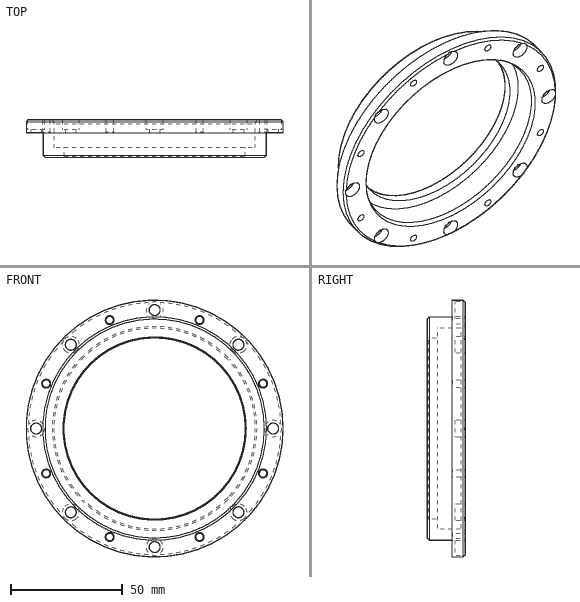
import cadquery as cq
import math

overall_depth = 17.0
flange_diameter = 115.0
flange_thickness = 6.0
spigot_diameter = 100.0
bore_diameter = 81.0
edge_chamfer = 1.0

bore_chamfer = 0.5
lip_thickness = 4.5
seat_diameter = 90.0
lead_in_depth = 2.0
lead_in_angle = 20.0

holes_per_circle = 8
hole_pitch_angle = 360.0 / holes_per_circle
clearance_hole_diameter = 4.8
clearance_circle_diameter = 106.0
counterbore_diameter = 7.5
clearance_land = 1.5
tapped_hole_diameter = 3.3
tapped_mouth_diameter = 4.0
tapped_circle_diameter = 105.0


def ring_body():
    """Revolve the flange and spigot section, drawn as radius against Y."""
    flange_radius = flange_diameter / 2
    spigot_radius = spigot_diameter / 2
    bore_radius = bore_diameter / 2
    seat_radius = seat_diameter / 2
    lip_back = -overall_depth + lip_thickness
    lead_in_width = lead_in_depth * math.tan(math.radians(lead_in_angle))
    section = [
        (bore_radius + bore_chamfer, -overall_depth),
        (spigot_radius - edge_chamfer, -overall_depth),
        (spigot_radius, -overall_depth + edge_chamfer),
        (spigot_radius, -flange_thickness),
        (flange_radius, -flange_thickness),
        (flange_radius, -edge_chamfer),
        (flange_radius - edge_chamfer, 0),
        (seat_radius + lead_in_width, 0),
        (seat_radius, -lead_in_depth),
        (seat_radius, lip_back),
        (bore_radius, lip_back),
        (bore_radius, -overall_depth + bore_chamfer),
    ]
    return cq.Workplane("XY").polyline(section).close().revolve(360, (0, 0), (0, 1))


def flange_face():
    """Sketch plane on the spigot side of the flange, facing -Y."""
    return cq.Workplane("XZ", origin=(0, -flange_thickness, 0))


def on_circle(cutter, circle_diameter, start_angle):
    """Repeat a cutter placed on the ring axis around a hole circle."""
    placed = cutter.translate((circle_diameter / 2, 0, 0))
    copies = cq.Workplane()
    for index in range(holes_per_circle):
        angle = start_angle + index * hole_pitch_angle
        copies = copies.add(placed.rotate((0, 0, 0), (0, 1, 0), angle))
    return copies.combine()


def clearance_hole():
    """Screw hole through the flange, counterbored from the back."""
    shank = flange_face().circle(clearance_hole_diameter / 2).extrude(-flange_thickness)
    head_depth = flange_thickness - clearance_land
    head = cq.Workplane("XZ").circle(counterbore_diameter / 2).extrude(head_depth)
    return shank.union(head)


def tapped_hole():
    """Tapping hole with a 45 degree countersink on the spigot side."""
    hole_radius = tapped_hole_diameter / 2
    mouth_radius = tapped_mouth_diameter / 2
    sink = mouth_radius - hole_radius
    section = [
        (0, -flange_thickness),
        (mouth_radius, -flange_thickness),
        (hole_radius, -flange_thickness + sink),
        (hole_radius, 0),
        (0, 0),
    ]
    return cq.Workplane("XY").polyline(section).close().revolve(360, (0, 0), (0, 1))


result = (
    ring_body()
    .cut(on_circle(clearance_hole(), clearance_circle_diameter, 0))
    .cut(on_circle(tapped_hole(), tapped_circle_diameter, hole_pitch_angle / 2))
)